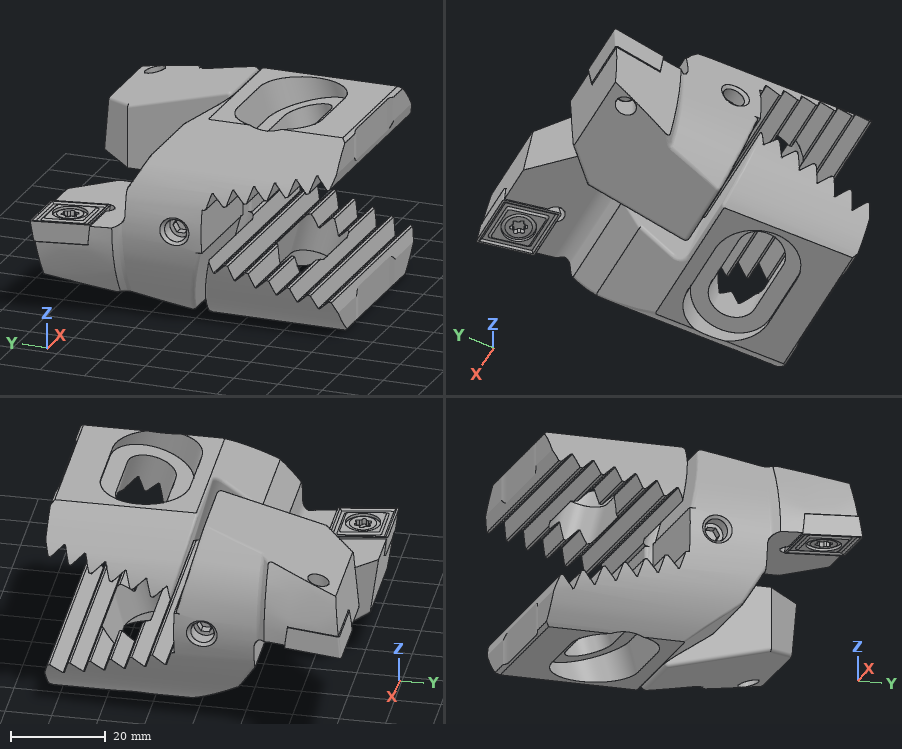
import cadquery as cq
import math

HEAD_RADIUS = 27.9
RELIEVED_RADIUS = 27.0
HALF_HEIGHT = 22.1
REAR_CHAMFER = 0.8
TILT = 15.0
SIN_TILT = math.sin(math.radians(TILT))
COS_TILT = math.cos(math.radians(TILT))
TAN_TILT = math.tan(math.radians(TILT))
BEYOND = 98.7

ARM_REAR_Y = 28.75
ARM_REAR_BOTTOM_Z = -4.2
ARM_LEDGE = 0.3
ARM_INNER_X = -2.45
ARM_TOP_Z = -0.45
ARM_FRONT_Y = 65.5
ARM_TIP_Y = 63.9
ARM_TIP_Z = -13.0
ARM_CORNER_CUT = 8.55
EDGE_RADIUS = 0.9
UPRIGHT_EDGE_RADIUS = 0.65
JAW_EDGE_RADIUS = 0.65
ARM_FRONT_RADIUS = 32.25
ARM_NECK_RADIUS = 29.35
NECK_FRONT_Y = 48.4
NECK_REAR_Y = 47.05
NECK_FILLET = 1.05
SHOULDER_Y = 46.0
SHOULDER_FILLET = 2.75
SHOULDER_TOP_Z = 7.9
SHOULDER_BEND = (42.0, 14.6)
JAW_CREST_Y = 31.25
JAW_FRONT_Y = 32.05
GAP_CORNER_RADIUS = 2.6

TOOTH_COUNT = 7
TOOTH_PITCH = 4.7
TOOTH_DEPTH = 3.1
TIP_FLAT = 0.6
ROOT_FLAT = 0.25
FIRST_ROOT = (26.8, 9.2)

SLOT_X = -1.9
SLOT_Y = 17.1
SLOT_FLOOR_Z = 17.7
SLOT_HALF_STRAIGHT = 6.5
SLOT_RADIUS = 5.4
COUNTERBORE_RADIUS = 9.3

RECESS_X = -0.6
RECESS_HALF_FLAT = 9.0
RECESS_HALF_WIDTH = 11.5
RECESS_DEPTH = 0.4

INSERT_X = -25.2
INSERT_Y = 59.4
INSERT_CIRCLE = 12.75
INSERT_ANGLE = 80.0
INSERT_THICKNESS = 4.8
INSERT_CLEARANCE = 7.0
INSERT_NOSE = 0.4
LAND_WIDTH = 0.45
GROOVE_WIDTH = 1.7
GROOVE_DEPTH = 0.4
GROOVE_TAPER = 50.0
ISLAND_CORNER_RADIUS = 1.0
SEAT_OPENING = 4.6
POCKET_RELIEF_RADIUS = 2.05
POCKET_RELIEF_X = -18.75
POCKET_RELIEF_Y = 53.95

SCREW_RADIUS = 2.25
SCREW_HEAD_RADIUS = 3.75
SCREW_CROWN_RADIUS = 2.9
SCREW_TOP_Z = -0.2
SCREW_RIM_Z = -0.65
SCREW_CONE_TOP_Z = -1.45
SCREW_CONE_BOTTOM_Z = -3.3
SCREW_END_Z = -10.5
SCREW_END_CHAMFER = 0.45
LOBE_RADIUS = 0.45
LOBE_CIRCLE = 1.45
LOBE_DEPTH = 1.3

SET_SCREW_Y = 34.8
SET_SCREW_RADIUS = 2.5
SET_SCREW_MOUTH_RADIUS = 3.3
SET_SCREW_OUTER_X = -24.0
SET_SCREW_LENGTH = 13.15
HEX_FLATS = 3.1
HEX_DEPTH = 2.0


def edges_near(body, points):
    """Edges of the body that pass closest to the given points."""
    edges = []
    for point in points:
        vertex = cq.Vertex.makeVertex(*point)
        edges.append(min(body.edges().vals(), key=vertex.distance))
    return body.newObject(edges)


def tooth_point(along, depth):
    """Y, Z of a point in the inclined frame of the serrations; `along` runs to the rear."""
    y = FIRST_ROOT[0] - along * COS_TILT - depth * SIN_TILT
    z = FIRST_ROOT[1] + along * SIN_TILT - depth * COS_TILT
    return (y, z)


def serration_points():
    """Serration outline from the foremost tip to a root just behind the rear face."""
    points = []
    for tooth in range(TOOTH_COUNT):
        root = tooth * TOOTH_PITCH
        tip = root - TOOTH_PITCH / 2
        points.append(tooth_point(tip - TIP_FLAT / 2, TOOTH_DEPTH))
        points.append(tooth_point(tip + TIP_FLAT / 2, TOOTH_DEPTH))
        points.append(tooth_point(root - ROOT_FLAT / 2, 0))
        points.append(tooth_point(root + ROOT_FLAT / 2, 0))
    return points


def arm_foot():
    """Y, Z where the arm's sloping underside meets its leaning rear face at a right angle."""
    across = ARM_TIP_Y - ARM_REAR_Y - ARM_LEDGE
    drop = ARM_REAR_BOTTOM_Z - ARM_TIP_Z
    underside_length = across * COS_TILT - drop * SIN_TILT
    return (ARM_TIP_Y - underside_length * COS_TILT, ARM_TIP_Z - underside_length * SIN_TILT)


def side_profile():
    """Jaw and arm seen along X, with the rear still running past Y = 0."""
    rear = serration_points()
    outline = [
        (rear[-1][0], HALF_HEIGHT),
        (JAW_CREST_Y, HALF_HEIGHT),
        SHOULDER_BEND,
        (SHOULDER_Y, SHOULDER_TOP_Z),
        (SHOULDER_Y, ARM_TOP_Z),
        (ARM_FRONT_Y, ARM_TOP_Z),
        (ARM_TIP_Y, ARM_TIP_Z),
        arm_foot(),
        (ARM_REAR_Y + ARM_LEDGE, ARM_REAR_BOTTOM_Z),
        (ARM_REAR_Y, ARM_REAR_BOTTOM_Z),
        (ARM_REAR_Y, rear[0][1]),
    ]
    return outline + rear


def turned_blank():
    """Cylindrical head that widens into a cone around the arm."""
    blank = (
        cq.Workplane("XY")
        .polyline([
            (0, 0),
            (HEAD_RADIUS, 0),
            (HEAD_RADIUS, NECK_REAR_Y),
            (ARM_NECK_RADIUS, NECK_FRONT_Y),
            (ARM_FRONT_RADIUS, ARM_FRONT_Y),
            (0, ARM_FRONT_Y),
        ])
        .close()
        .revolve(360, (0, 0, 0), (0, 1, 0))
    )
    neck_corner = (HEAD_RADIUS, NECK_REAR_Y, 0)
    return edges_near(blank, [neck_corner]).fillet(NECK_FILLET)


def gap_cutter():
    """Space in front of the jaw and beside the arm, leaning with the jaw's front face."""
    plane = cq.Plane((0, JAW_FRONT_Y, HALF_HEIGHT), (1, 0, 0), (0, SIN_TILT, COS_TILT))
    gap = (
        cq.Workplane(plane)
        .moveTo(ARM_INNER_X + BEYOND, 0)
        .lineTo(ARM_INNER_X, 0)
        .lineTo(ARM_INNER_X, BEYOND)
        .lineTo(ARM_INNER_X + BEYOND, BEYOND)
        .close()
        .extrude(BEYOND, both=True)
    )
    gap_corner = (ARM_INNER_X, JAW_FRONT_Y, HALF_HEIGHT)
    return edges_near(gap, [gap_corner]).fillet(GAP_CORNER_RADIUS)


def corner_cutter():
    """Triangular prism that takes the front inner corner off the arm."""
    return (
        cq.Workplane("XY")
        .polyline([
            (ARM_INNER_X - ARM_CORNER_CUT, ARM_FRONT_Y),
            (ARM_INNER_X, ARM_FRONT_Y),
            (ARM_INNER_X, ARM_FRONT_Y - ARM_CORNER_CUT),
        ])
        .close()
        .extrude(BEYOND, both=True)
    )


def relief_cutter():
    """Half ring that reduces the turned radius on the free side of the jaw."""
    ring = (
        cq.Workplane("XZ")
        .circle(BEYOND)
        .circle(RELIEVED_RADIUS)
        .extrude(-BEYOND)
    )
    free_side = cq.Workplane("XY").box(BEYOND, 2 * BEYOND, 2 * BEYOND, centered=(False, True, True))
    return ring.intersect(free_side)


def obround(plane, radius, length):
    straight = 2 * SLOT_HALF_STRAIGHT
    return cq.Workplane(plane).slot2D(straight + 2 * radius, 2 * radius).extrude(length)


def slot_cutter():
    """Counterbored clamping slot, square to the serrations."""
    plane = cq.Plane((SLOT_X, SLOT_Y, SLOT_FLOOR_Z), (1, 0, 0), (0, SIN_TILT, COS_TILT))
    counterbore = obround(plane, COUNTERBORE_RADIUS, BEYOND)
    return counterbore.union(obround(plane, SLOT_RADIUS, -BEYOND))


def recess_cutter():
    """Shallow recess with rounded run-outs at both ends."""
    run_out = RECESS_HALF_WIDTH - RECESS_HALF_FLAT
    radius = (run_out ** 2 + RECESS_DEPTH ** 2) / (2 * RECESS_DEPTH)
    half_arc = math.asin(run_out / radius) / 2
    mid_x = RECESS_HALF_FLAT + radius * math.sin(half_arc)
    mid_y = RECESS_DEPTH - radius * (1 - math.cos(half_arc))
    return (
        cq.Workplane("XY")
        .moveTo(-RECESS_HALF_WIDTH, 0)
        .threePointArc((-mid_x, mid_y), (-RECESS_HALF_FLAT, RECESS_DEPTH))
        .lineTo(RECESS_HALF_FLAT, RECESS_DEPTH)
        .threePointArc((mid_x, mid_y), (RECESS_HALF_WIDTH, 0))
        .close()
        .extrude(BEYOND)
        .translate((RECESS_X, 0, 0))
    )


def rhombus(inset):
    """Insert outline at the cutting plane, its sides moved inwards by `inset`."""
    half = INSERT_CIRCLE / 2 - inset
    half_side = half / math.sin(math.radians(INSERT_ANGLE))
    shift = half / math.tan(math.radians(INSERT_ANGLE))
    return (
        cq.Workplane("XY", origin=(INSERT_X, INSERT_Y, 0))
        .polyline([
            (-half_side - shift, half),
            (half_side - shift, half),
            (half_side + shift, -half),
            (-half_side + shift, -half),
        ])
        .close()
    )


def insert_blank():
    """Insert without hole or chip groove, its nose corners rounded."""
    blank = rhombus(0).extrude(-INSERT_THICKNESS, taper=INSERT_CLEARANCE)
    corner_edges = blank.edges("not #Z")
    return corner_edges.fillet(INSERT_NOSE)


def screw_envelope(head_top_z):
    """Countersunk screw without recess or chamfers, its head carried up to `head_top_z`."""
    return (
        cq.Workplane("XZ")
        .polyline([
            (0, head_top_z),
            (SCREW_HEAD_RADIUS, head_top_z),
            (SCREW_HEAD_RADIUS, SCREW_CONE_TOP_Z),
            (SCREW_RADIUS, SCREW_CONE_BOTTOM_Z),
            (SCREW_RADIUS, SCREW_END_Z),
            (0, SCREW_END_Z),
        ])
        .close()
        .revolve(360, (0, 0, 0), (0, 1, 0))
        .translate((INSERT_X, INSERT_Y, 0))
    )


def insert_body():
    """Rhombic insert with a chip groove around its top and a countersunk hole."""
    groove = rhombus(LAND_WIDTH).extrude(-GROOVE_DEPTH, taper=GROOVE_TAPER)
    island_spread = GROOVE_DEPTH * math.tan(math.radians(GROOVE_TAPER))
    island_foot = rhombus(LAND_WIDTH + GROOVE_WIDTH - island_spread)
    island = island_foot.extrude(GROOVE_DEPTH, taper=GROOVE_TAPER).translate((0, 0, -GROOVE_DEPTH))
    island = island.edges("not #Z").fillet(ISLAND_CORNER_RADIUS)
    return insert_blank().cut(groove.cut(island)).cut(screw_envelope(0))


def insert_screw():
    """Screw with a crowned head and a six-lobed recess."""
    recess = (
        cq.Workplane("XY", origin=(INSERT_X, INSERT_Y, SCREW_TOP_Z))
        .circle(LOBE_CIRCLE)
        .extrude(-LOBE_DEPTH)
    )
    lobes = (
        cq.Workplane("XY", origin=(INSERT_X, INSERT_Y, SCREW_TOP_Z))
        .polarArray(LOBE_CIRCLE, 0, 360, 6)
        .circle(LOBE_RADIUS)
        .extrude(-LOBE_DEPTH)
    )
    return (
        screw_envelope(SCREW_TOP_Z)
        .faces(">Z").chamfer(SCREW_HEAD_RADIUS - SCREW_CROWN_RADIUS, SCREW_TOP_Z - SCREW_RIM_Z)
        .faces("<Z").chamfer(SCREW_END_CHAMFER)
        .cut(recess.union(lobes))
    )


def pocket_cutter():
    """Insert seat open to the outside of the arm, with a relieved inner corner and the screw hole."""
    seat = insert_blank()
    relief = (
        cq.Workplane("XY", origin=(POCKET_RELIEF_X, POCKET_RELIEF_Y, 0))
        .circle(POCKET_RELIEF_RADIUS)
        .extrude(-INSERT_THICKNESS)
    )
    screw_hole = (
        cq.Workplane("XY", origin=(INSERT_X, INSERT_Y, 0))
        .circle(SCREW_RADIUS)
        .extrude(-BEYOND)
    )
    open_side = seat.translate((-SEAT_OPENING, 0, 0))
    return seat.union(open_side).union(relief).union(screw_hole)


def set_screw():
    """Cylindrical set screw with a hexagon socket, lying along X."""
    hex_circle = HEX_FLATS / math.cos(math.pi / 6)
    start = cq.Workplane("YZ", origin=(SET_SCREW_OUTER_X, SET_SCREW_Y, 0))
    socket = start.polygon(6, hex_circle).extrude(HEX_DEPTH)
    return start.circle(SET_SCREW_RADIUS).extrude(SET_SCREW_LENGTH).cut(socket)


def set_screw_hole():
    """Blind hole for the set screw, widened to a cone at its mouth."""
    flare = SET_SCREW_MOUTH_RADIUS - SET_SCREW_RADIUS
    start = cq.Workplane("YZ", origin=(SET_SCREW_OUTER_X + SET_SCREW_LENGTH, SET_SCREW_Y, 0))
    hole = start.circle(SET_SCREW_RADIUS).extrude(-BEYOND)
    mouth = (
        cq.Workplane("YZ", origin=(-HEAD_RADIUS, SET_SCREW_Y, 0))
        .circle(SET_SCREW_MOUTH_RADIUS)
        .workplane(offset=flare)
        .circle(SET_SCREW_RADIUS)
        .loft()
    )
    return hole.union(mouth)


def on_head(y, z):
    """Point on the -X side of the turned head."""
    return (-math.sqrt(HEAD_RADIUS ** 2 - z ** 2), y, z)


def underside_z(y):
    return ARM_TIP_Z - (ARM_TIP_Y - y) * TAN_TILT


def round_edges(body):
    """Round the outside edges of the arm, of the jaw's front slopes and of the jaw's free end."""
    foot_y, foot_z = arm_foot()
    leaning_y = (ARM_REAR_Y + ARM_LEDGE + foot_y) / 2
    leaning_z = (ARM_REAR_BOTTOM_Z + foot_z) / 2
    along_y = (foot_y + NECK_REAR_Y) / 2
    corner_mid = ARM_CORNER_CUT / 2
    arm_edges = [
        (ARM_INNER_X, along_y, underside_z(along_y)),
        (ARM_INNER_X - corner_mid, ARM_TIP_Y - corner_mid, underside_z(ARM_TIP_Y - corner_mid)),
        on_head(along_y, underside_z(along_y)),
        (2 * ARM_INNER_X, foot_y, foot_z),
        (ARM_INNER_X, leaning_y, leaning_z),
        on_head(leaning_y, leaning_z),
    ]
    slope_edges = []
    slope_ends = [(JAW_CREST_Y, HALF_HEIGHT), SHOULDER_BEND, (SHOULDER_Y, SHOULDER_TOP_Z)]
    for start, end in zip(slope_ends, slope_ends[1:]):
        y = (start[0] + end[0]) / 2
        z = (start[1] + end[1]) / 2
        slope_edges += [on_head(y, z), (ARM_INNER_X, y, z)]
    free_z = HALF_HEIGHT / 2
    free_x = math.sqrt(RELIEVED_RADIUS ** 2 - free_z ** 2)
    free_edge = (free_x, JAW_FRONT_Y - (HALF_HEIGHT - free_z) * TAN_TILT, free_z)
    body = edges_near(body, arm_edges).fillet(EDGE_RADIUS)
    body = edges_near(body, slope_edges).fillet(EDGE_RADIUS)
    upright_edge = (ARM_INNER_X, ARM_REAR_Y, ARM_REAR_BOTTOM_Z / 2)
    body = edges_near(body, [upright_edge]).fillet(UPRIGHT_EDGE_RADIUS)
    return edges_near(body, [free_edge]).fillet(JAW_EDGE_RADIUS)


def holder():
    """Jaw and insert arm in one piece, with the arm on the -X side below the axis."""
    side = cq.Workplane("YZ").polyline(side_profile()).close().extrude(BEYOND, both=True)
    body = turned_blank().intersect(side)
    body = body.cut(gap_cutter()).cut(corner_cutter()).cut(relief_cutter())
    shoulder_corner = (-13.15, SHOULDER_Y, ARM_TOP_Z)
    body = edges_near(body, [shoulder_corner]).fillet(SHOULDER_FILLET)
    body = round_edges(body)
    rear_edge = (0, 0, HALF_HEIGHT)
    body = edges_near(body, [rear_edge]).chamfer(REAR_CHAMFER)
    return body.cut(slot_cutter()).cut(recess_cutter()).cut(set_screw_hole()).cut(pocket_cutter())


cartridge = [holder(), insert_body(), insert_screw(), set_screw()]
bodies = []
for turn in (0, 180):
    for piece in cartridge:
        bodies.append(piece.rotate((0, 0, 0), (0, 1, 0), turn).val())

result = cq.Compound.makeCompound(bodies)